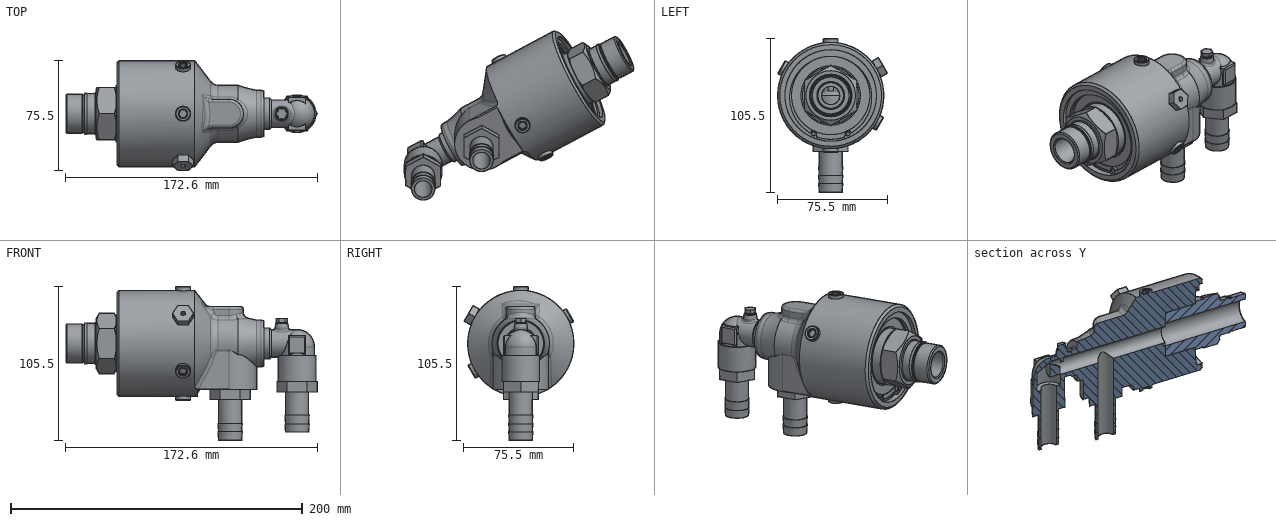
import cadquery as cq
import math


nipple_tip = -35.0
nipple_radius = 13.5
nipple_chamfer = 0.9
undercut_start = -23.8
undercut_radius = 13.0
undercut_slope = 0.8
bead_start = -22.2
bead_end = -20.3
bead_radius = 14.2
shoulder_radius = 13.9
shoulder_fillet = 0.7
nut_front = -14.2
nut_back = -0.5
nut_flats = 36.0
nut_front_circle = 17.0
nut_back_circle = 18.63
nut_chamfer_slope = math.tan(math.radians(30))
collar_radius = 19.4
journal_radius = 17.5
journal_end = 30.0
rotor_bore_radius = 17.6 / 2
rotor_bore_chamfer = 0.75

drum_radius = 36.5
drum_chamfer = 1.6
drum_end = 53.5
drum_heel_end = 55.4
cone_end = 66.3
neck_radius = 19.7
neck_fillet = 6.5
neck_end = 83.1
taper_hollow = 0.3
flange_start = 95.8
flange_radius = 16.2
flange_end = 101.0
flange_chamfer = 0.6
flange_chamfer_length = 1.9
spigot_radius = 10.8
spigot_end = 106.2
spigot_chamfer_length = 1.3
tube_radius = 9.5
main_bore_radius = 12.5 / 2
main_bore_end = 123.0

mouth_radius = 31.4
seat_radius = 30.1
snap_ring_front = 2.4
snap_ring_thickness = 2.0
snap_ring_outer_radius = 33.0
snap_ring_inner_radius = 28.2
snap_ring_offset = 1.3
snap_ring_gap = 18.9
snap_ring_eye_radius = 2.2
snap_ring_hole = 2.5
snap_ring_eye_y = 11.9
snap_ring_eye_distance = 28.9
seat_depth = 5.0
recess_radius = 26.9
recess_depth = 5.4
gland_radius = 20.4
gland_depth = 5.8

boss_x = 77.05
boss_start = 53.0
boss_half_width = 19.1
boss_bottom = -31.7
boss_cone_fillet = 3.0
pad_half_width = 9.9
pad_top = 25.4
pad_start = 58.0
pad_edge_fillet = 2.0
pad_base_fillet = 4.0

elbow_x = 123.75
elbow_radius = 12.0
elbow_centre_z = -2.4
elbow_chamber_radius = 18.63 / 2
elbow_chamber_bottom = -14.0
drill_point_angle = 118.0
flat_width = 11.9
flat_top = 5.5
flat_bottom = -7.4
flat_chamfer = 0.9
sleeve_radius = 13.0
sleeve_top = -8.3

hose_nut_flats = 24.0
hose_radius = 8.0
hose_bore_radius = 6.0
barb_radius = 8.4
outlet_nut_height = 6.8
outlet_barbs = (-54.8, -60.5)
outlet_end = -66.5
outlet_x = 77.8
elbow_nut_top = -26.1
elbow_nut_height = 7.2
elbow_barbs = (-49.0, -55.3)
elbow_end = -60.9

vent_x = 113.3
vent_boss_radius = 4.7
vent_boss_top_radius = 4.2
vent_boss_top = 13.6
vent_boss_taper_height = 3.0
vent_base_fillet = 1.5
vent_neck_radius = 6.3 / 2
vent_head_bottom = 14.5
vent_head_top = 17.2
vent_head_flats = 7.0
vent_tip_radius = 3.62 / 2
vent_tip_bottom = 3.2

plug_x = 45.5
plug_angles = (30, 90, 210, 270)
plug_radius = 5.15
plug_top = 39.0
plug_height = 5.0
plug_chamfer = 0.4
plug_socket_flats = 5.0
plug_countersink_radius = 6.4 / 2
plug_socket_depth = 2.0
plug_countersink_depth = 0.5
hex_plug_angle = 150
hex_plug_flats = 12.5
hex_plug_top = 41.4
hex_plug_hole = 3.12
hex_plug_hole_depth = 3.0


def turned(points):
    """Solid of revolution about the X axis from (x, radius) points."""
    return cq.Workplane("XY").polyline(points).close().revolve(360, (0, 0, 0), (1, 0, 0))


def x_cylinder(radius, start, end):
    return cq.Workplane("YZ", origin=(start, 0, 0)).circle(radius).extrude(end - start)


def z_cylinder(x, radius, bottom, top):
    return cq.Workplane("XY", origin=(x, 0, bottom)).circle(radius).extrude(top - bottom)


def z_hexagon(x, flats, bottom, top):
    """Hexagonal prism along Z with two corners on the X direction."""
    corners = flats / math.cos(math.pi / 6)
    return cq.Workplane("XY", origin=(x, 0, bottom)).polygon(6, corners).extrude(top - bottom)


def make_rotor():
    corner = nut_flats / 2 / math.cos(math.pi / 6)
    front_bevel = (corner - nut_front_circle) * nut_chamfer_slope
    back_bevel = (corner - nut_back_circle) * nut_chamfer_slope
    nipple = (
        cq.Workplane("XY")
        .moveTo(nipple_tip, 0)
        .lineTo(nipple_tip, nipple_radius - nipple_chamfer)
        .lineTo(nipple_tip + nipple_chamfer, nipple_radius)
        .lineTo(undercut_start, nipple_radius)
        .lineTo(undercut_start + undercut_slope, undercut_radius)
        .lineTo(bead_start, undercut_radius)
        .lineTo(bead_start, shoulder_radius)
        .threePointArc(((bead_start + bead_end) / 2, bead_radius), (bead_end, shoulder_radius))
        .lineTo(nut_front - shoulder_fillet, shoulder_radius)
        .radiusArc((nut_front, shoulder_radius + shoulder_fillet), shoulder_fillet)
        .lineTo(nut_front, 0)
        .close()
        .revolve(360, (0, 0, 0), (1, 0, 0))
    )
    nut_envelope = turned([
        (nut_front, 0),
        (nut_front, nut_front_circle),
        (nut_front + front_bevel, corner),
        (nut_back - back_bevel, corner),
        (nut_back, nut_back_circle),
        (nut_back, 0),
    ])
    nut = (
        cq.Workplane("YZ", origin=(nut_front, 0, 0))
        .transformed(rotate=(0, 0, 90))
        .polygon(6, 2 * corner)
        .extrude(nut_back - nut_front)
        .intersect(nut_envelope)
    )
    collar = x_cylinder(collar_radius, nut_back, gland_depth)
    journal = x_cylinder(journal_radius, gland_depth, journal_end)
    bore = turned([
        (nipple_tip, 0),
        (nipple_tip, rotor_bore_radius + rotor_bore_chamfer),
        (nipple_tip + rotor_bore_chamfer, rotor_bore_radius),
        (journal_end, rotor_bore_radius),
        (journal_end, 0),
    ])
    return nipple.union(nut).union(collar).union(journal).cut(bore)


def make_shell():
    """Drum, cone, neck, flange and straight tube, all turned about the main axis."""
    cone_angle = math.atan2(drum_radius - neck_radius, cone_end - drum_end)
    setback = neck_fillet * math.tan(cone_angle / 2)
    blend_start = (cone_end - setback * math.cos(cone_angle), neck_radius + setback * math.sin(cone_angle))
    blend_end = (cone_end + setback, neck_radius)
    taper_middle = (
        (neck_end + flange_start) / 2,
        (neck_radius + flange_radius) / 2 - taper_hollow,
    )
    outline = (
        cq.Workplane("XY")
        .moveTo(0, 0)
        .lineTo(0, drum_radius - drum_chamfer)
        .lineTo(drum_chamfer, drum_radius)
        .lineTo(drum_end, drum_radius)
        .lineTo(*blend_start)
        .tangentArcPoint(blend_end, relative=False)
        .lineTo(neck_end, neck_radius)
        .threePointArc(taper_middle, (flange_start, flange_radius))
        .lineTo(flange_end - flange_chamfer_length, flange_radius)
        .lineTo(flange_end, flange_radius - flange_chamfer)
        .lineTo(flange_end, spigot_radius)
        .lineTo(spigot_end - spigot_chamfer_length, spigot_radius)
        .lineTo(spigot_end, tube_radius)
        .lineTo(elbow_x, tube_radius)
        .lineTo(elbow_x, 0)
        .close()
    )
    return outline.revolve(360, (0, 0, 0), (1, 0, 0))


def rounded_end_block(start, centre, half_width, bottom, top):
    """Upright block with a flat start face and a half-round end, seen along Z."""
    return (
        cq.Workplane("XY", origin=(0, 0, bottom))
        .moveTo(start, -half_width)
        .lineTo(centre, -half_width)
        .threePointArc((centre + half_width, 0), (centre, half_width))
        .lineTo(start, half_width)
        .close()
        .extrude(top - bottom)
    )


def make_heel():
    """Part of the drum that reaches further back below the outlet boss."""
    below = cq.Workplane("XY").box(
        drum_heel_end, 2 * drum_radius, drum_radius, centered=(False, True, False)
    ).translate((0, 0, boss_bottom - drum_radius))
    return x_cylinder(drum_radius, drum_end - 1, drum_heel_end).intersect(below)


def hose_tail(x, nut_top, nut_height, barbs, end):
    """Hexagon nut with a tube below it that carries two barbs; the bore is cut later."""
    nut_bottom = nut_top - nut_height
    upper_barb, lower_barb = barbs
    tube = (
        cq.Workplane("XZ")
        .moveTo(0, nut_bottom)
        .lineTo(hose_radius, nut_bottom)
        .lineTo(hose_radius, upper_barb)
        .lineTo(barb_radius, upper_barb)
        .lineTo(hose_radius, lower_barb)
        .lineTo(barb_radius, lower_barb)
        .lineTo(hose_radius, end)
        .lineTo(0, end)
        .close()
        .revolve(360, (0, 0, 0), (0, 1, 0))
        .translate((x, 0, 0))
    )
    return z_hexagon(x, hose_nut_flats, nut_bottom, nut_top).union(tube)


def make_elbow():
    """Domed vertical leg with two wrench flats, standing on a wider sleeve."""
    dome = cq.Workplane("XY").sphere(elbow_radius).translate((elbow_x, 0, elbow_centre_z))
    leg = z_cylinder(elbow_x, elbow_radius, sleeve_top, elbow_centre_z)
    flats = (
        cq.Workplane("XY", origin=(elbow_x, 0, (flat_top + flat_bottom) / 2))
        .box(flat_width, 2 * elbow_radius, flat_top - flat_bottom)
        .faces("<Y or >Y")
        .chamfer(flat_chamfer)
    )
    sleeve = z_cylinder(elbow_x, sleeve_radius, elbow_nut_top, sleeve_top)
    return dome.union(leg).union(flats).union(sleeve)


def make_vent_boss():
    """Short round boss that narrows towards its top."""
    return (
        cq.Workplane("XZ")
        .lineTo(vent_boss_radius, 0)
        .lineTo(vent_boss_radius, vent_boss_top - vent_boss_taper_height)
        .lineTo(vent_boss_top_radius, vent_boss_top)
        .lineTo(0, vent_boss_top)
        .close()
        .revolve(360, (0, 0, 0), (0, 1, 0))
        .translate((vent_x, 0, 0))
    )


def make_vent_screw():
    """Hexagon head on a round neck, with a tip that reaches down into the main bore."""
    head = z_hexagon(vent_x, vent_head_flats, vent_head_bottom, vent_head_top)
    neck = z_cylinder(vent_x, vent_neck_radius, vent_boss_top, vent_head_bottom)
    tip = z_cylinder(vent_x, vent_tip_radius, vent_tip_bottom, vent_boss_top)
    return head.union(neck).union(tip)


def around_drum(shape, angle):
    """Moves a shape built along +Y to its place on the drum; the angle runs from +Y towards +Z."""
    return shape.rotate((0, 0, 0), (1, 0, 0), angle).translate((plug_x, 0, 0))


def round_plug():
    """Round plug with a chamfered rim and a countersunk hexagon socket."""
    top = cq.Workplane("XZ", origin=(0, plug_top, 0))
    socket_corners = plug_socket_flats / math.cos(math.pi / 6)
    return (
        top.circle(plug_radius).extrude(plug_height)
        .faces(">Y").chamfer(plug_chamfer)
        .cut(top.circle(plug_countersink_radius).extrude(plug_countersink_depth))
        .cut(top.polygon(6, socket_corners).extrude(plug_socket_depth))
    )


def hex_plug():
    """Hexagon plug with a small blind hole in its head."""
    top = cq.Workplane("XZ", origin=(0, hex_plug_top, 0))
    head = top.polygon(6, hex_plug_flats / math.cos(math.pi / 6)).extrude(plug_height)
    return head.cut(top.circle(hex_plug_hole / 2).extrude(hex_plug_hole_depth))


def make_snap_ring():
    """Eccentric open ring with two drilled eyes beside its gap, lodged in the drum mouth."""
    back = snap_ring_front + snap_ring_thickness
    opening = x_cylinder(snap_ring_inner_radius, snap_ring_front, back)
    gap = cq.Workplane("XY", origin=(snap_ring_front, 0, -drum_radius)).box(
        snap_ring_thickness, snap_ring_gap, drum_radius, centered=(False, True, False)
    )
    ring = x_cylinder(snap_ring_outer_radius, snap_ring_front, back)
    ring = ring.cut(opening.translate((0, 0, -snap_ring_offset)))
    eye = x_cylinder(snap_ring_eye_radius, snap_ring_front, back)
    eye_hole = x_cylinder(snap_ring_hole / 2, snap_ring_front, back)
    eye_z = -math.sqrt(snap_ring_eye_distance**2 - snap_ring_eye_y**2)
    ring = ring.cut(gap)
    for side in (-1, 1):
        eye_place = (0, side * snap_ring_eye_y, eye_z)
        ring = ring.union(eye.translate(eye_place)).cut(eye_hole.translate(eye_place))
    return ring


def make_casting():
    """Shell with the outlet boss and the top pad, blended into the cone and the neck."""
    boss_height = -boss_bottom
    boss_block = (
        cq.Workplane("XY", origin=(boss_start, 0, boss_bottom))
        .box(boss_x - boss_start, 2 * boss_half_width, boss_height, centered=(False, True, False))
        .intersect(x_cylinder(drum_radius, boss_start, boss_x))
    )
    casting = make_shell().union(boss_block)
    boss_seam = [
        edge for edge in casting.edges().vals()
        if drum_end + 1 < edge.Center().x < boss_x - 0.1
        and abs(abs(edge.Center().y) - boss_half_width) < 0.01
        and edge.Center().z > boss_bottom + 2
    ]
    casting = casting.newObject(boss_seam).fillet(boss_cone_fillet)
    casting = casting.union(z_cylinder(boss_x, boss_half_width, boss_bottom, 0))

    pad = rounded_end_block(pad_start, boss_x, pad_half_width, 0, pad_top)
    casting = casting.union(pad)
    pad_seam_zone = cq.selectors.BoxSelector(
        (pad_start, -1.2 * pad_half_width, neck_radius / 2),
        (flange_start, 1.2 * pad_half_width, pad_top + 1),
    )
    seam = [
        edge for edge in casting.edges(pad_seam_zone).vals()
        if edge.BoundingBox().xlen > 0.1
        and (edge.Center().z < pad_top - 0.1 or edge.Center().x < cone_end - 3)
    ]
    casting = casting.newObject(seam).fillet(pad_base_fillet)
    rim = [
        edge for edge in casting.faces(
            cq.selectors.BoxSelector((pad_start, -5, pad_top - 0.1), (flange_start, 5, pad_top + 0.1))
        ).edges().vals()
        if abs(edge.Center().y) > 1 or edge.Center().x > boss_x
    ]
    return casting.newObject(rim).fillet(pad_edge_fillet)


def make_cavity():
    """Stepped front recess, rotor seat and main bore, all turned about the main axis."""
    ring_back = snap_ring_front + snap_ring_thickness
    return turned([
        (0, 0),
        (0, mouth_radius),
        (ring_back, mouth_radius),
        (ring_back, seat_radius),
        (seat_depth, seat_radius),
        (seat_depth, recess_radius),
        (recess_depth, recess_radius),
        (recess_depth, gland_radius),
        (gland_depth, gland_radius),
        (gland_depth, journal_radius),
        (journal_end, journal_radius),
        (journal_end, main_bore_radius),
        (main_bore_end, main_bore_radius),
        (main_bore_end, 0),
    ])


def make_elbow_bore():
    """Chamber of the elbow with a drill point at its top, opening into the bore of the hose tail."""
    point_height = elbow_chamber_radius / math.tan(math.radians(drill_point_angle / 2))
    return (
        cq.Workplane("XZ")
        .moveTo(0, elbow_end)
        .lineTo(hose_bore_radius, elbow_end)
        .lineTo(hose_bore_radius, elbow_chamber_bottom)
        .lineTo(elbow_chamber_radius, elbow_chamber_bottom)
        .lineTo(elbow_chamber_radius, 0)
        .lineTo(0, point_height)
        .close()
        .revolve(360, (0, 0, 0), (0, 1, 0))
        .translate((elbow_x, 0, 0))
    )


def make_housing():
    vent_zone = cq.selectors.BoxSelector(
        (vent_x - 6, -6, tube_radius / 2), (vent_x + 6, 6, tube_radius + 0.1)
    )
    housing = make_casting().union(make_vent_boss())
    housing = housing.edges(vent_zone).fillet(vent_base_fillet)
    housing = housing.union(make_heel()).union(make_elbow())
    housing = housing.union(hose_tail(outlet_x, boss_bottom, outlet_nut_height, outlet_barbs, outlet_end))
    housing = housing.union(hose_tail(elbow_x, elbow_nut_top, elbow_nut_height, elbow_barbs, elbow_end))
    housing = housing.cut(make_cavity())
    housing = housing.cut(z_cylinder(outlet_x, hose_bore_radius, outlet_end, 0))
    housing = housing.cut(make_elbow_bore())
    housing = housing.union(make_vent_screw()).union(make_snap_ring())
    for angle in plug_angles:
        housing = housing.union(around_drum(round_plug(), angle))
    return housing.union(around_drum(hex_plug(), hex_plug_angle))


rotor = make_rotor()
housing = make_housing()
result = cq.Compound.makeCompound([rotor.val(), housing.val()])